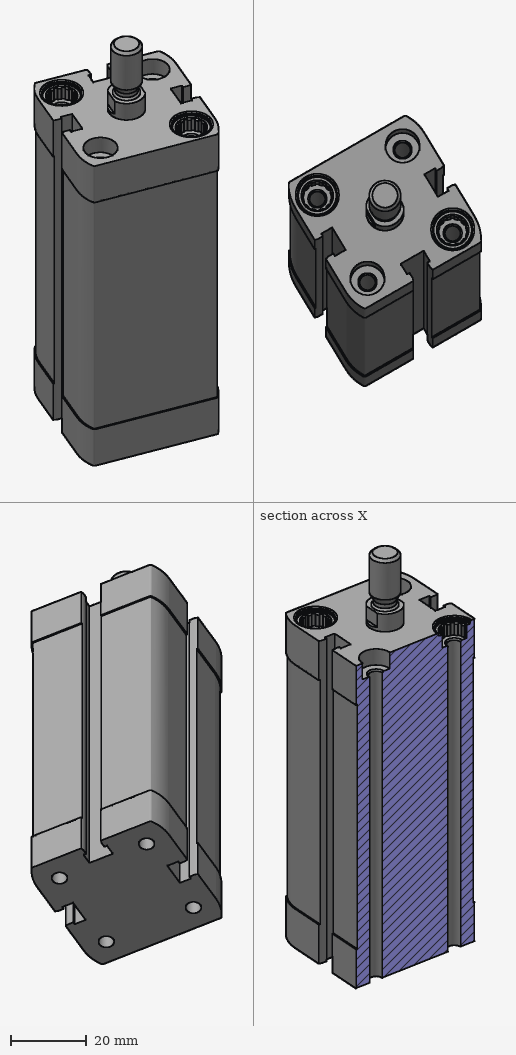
import cadquery as cq
import math

cap_width = 39.5
cap_inset = 0.4
cap_height = 12.0
housing_height = 99.0
tube_height = housing_height - 2 * cap_height

mounting_offset = 13.0
corner_radius = 25.0 / 2
cap_corner_fillet = 0.7
tube_corner_fillet = 0.4

slot_mouth_width = 5.4
slot_inner_width = 7.0
slot_lip_depth = 2.4
slot_depth = 5.7
slot_flare = 0.2
slot_flare_depth = 0.8
slot_angles = (0, 180, 270)

through_diameter = 4.1
hole_lead_diameter = 5.0
counterbore_diameter = 9.0
counterbore_depth = 5.0
plain_corners = ((-1, 1), (1, -1))
socket_corners = ((1, 1), (-1, -1))

socket_mouth_diameter = 11.5
socket_diameter = 10.5
socket_ledge_diameter = 10.0
socket_depth = 1.0
socket_lead_diameter = 8.4
socket_bore_diameter = 7.5
spline_diameter = 8.0
spline_groove_count = 12

overall_height = 120.5
rod_diameter = 10.0
rod_shoulder_z = 104.5
rod_flat_width = 8.8
rod_flat_bottom_z = 100.3
rod_flat_runout = 0.4
neck_diameter = 6.1
neck_flare = 0.6
neck_bottom_z = rod_shoulder_z + neck_flare
neck_top_z = 106.3
thread_diameter = 8.3
thread_bottom_z = 108.3
thread_chamfer = 0.8


def rounded_block(inset, corner_fillet, height, bottom_z):
    """Square block with bulged corners; inset shrinks all its sides."""
    half = cap_width / 2 - inset
    radius = corner_radius - inset
    reach = half - mounting_offset
    arc_center_y = half - radius
    corner_y = arc_center_y + math.sqrt(radius**2 - reach**2)
    middle_angle = (math.pi / 2 + math.acos(reach / radius)) / 2
    middle_x = mounting_offset + radius * math.cos(middle_angle)
    middle_y = arc_center_y + radius * math.sin(middle_angle)
    return (
        cq.Workplane("XY", origin=(0, 0, bottom_z))
        .moveTo(-mounting_offset, half)
        .lineTo(mounting_offset, half)
        .threePointArc((middle_x, middle_y), (half, corner_y))
        .lineTo(half, -corner_y)
        .threePointArc((middle_x, -middle_y), (mounting_offset, -half))
        .lineTo(-mounting_offset, -half)
        .threePointArc((-middle_x, -middle_y), (-half, -corner_y))
        .lineTo(-half, corner_y)
        .threePointArc((-middle_x, middle_y), (-mounting_offset, half))
        .close()
        .extrude(height)
        .edges("|Z and (<X or >X)")
        .fillet(corner_fillet)
    )


def slot_cutter(angle):
    """T-slot with a flared mouth through the full height, on the -Y side turned about Z."""
    side = -cap_width / 2
    mouth = slot_mouth_width / 2
    inner = slot_inner_width / 2
    right_half = [
        (mouth + slot_flare, side),
        (mouth, side + slot_flare_depth),
        (mouth, side + slot_lip_depth),
        (inner, side + slot_lip_depth),
        (inner, side + slot_depth),
    ]
    left_half = [(-x, y) for x, y in reversed(right_half)]
    return (
        cq.Workplane("XY")
        .polyline(right_half + left_half)
        .close()
        .extrude(housing_height)
        .rotate((0, 0, 0), (0, 0, 1), angle)
    )


def turned(profile):
    """Body of revolution about Z from (radius, z) points."""
    return cq.Workplane("XZ").polyline(profile).close().revolve(360, (0, 0), (0, 1))


def mounting_hole_profile(upper_points):
    """Outline of a through hole below the counterbore floor, closed by the points above it."""
    floor_z = housing_height - counterbore_depth
    lead_radius = hole_lead_diameter / 2
    through_radius = through_diameter / 2
    return [
        (0, 0),
        (through_radius, 0),
        (through_radius, floor_z - (lead_radius - through_radius)),
        (lead_radius, floor_z),
        *upper_points,
        (0, housing_height),
    ]


def plain_hole():
    """Flat-bottomed counterbore above the through hole."""
    radius = counterbore_diameter / 2
    floor_z = housing_height - counterbore_depth
    return turned(mounting_hole_profile([(radius, floor_z), (radius, housing_height)]))


def spline_grooves(bottom_z, top_z):
    """Evenly spaced grooves around the socket bore, as wide as the teeth between them."""
    groove_width = math.pi * socket_bore_diameter / (2 * spline_groove_count)
    height = top_z - bottom_z
    base = cq.Workplane("XY", origin=(0, 0, bottom_z))
    grooves = cq.Workplane("XY")
    for index in range(spline_groove_count // 2):
        bar = base.rect(spline_diameter, groove_width).extrude(height)
        grooves = grooves.union(bar.rotate((0, 0, 0), (0, 0, 1), index * 360 / spline_groove_count))
    return grooves.intersect(base.circle(spline_diameter / 2).extrude(height))


def socket_hole():
    """Chamfered mouth, ledge ring and splined bore above the through hole."""
    floor_z = housing_height - counterbore_depth
    ledge_z = housing_height - socket_depth
    mouth_radius = socket_mouth_diameter / 2
    radius = socket_diameter / 2
    ledge_radius = socket_ledge_diameter / 2
    lead_radius = socket_lead_diameter / 2
    bore_radius = socket_bore_diameter / 2
    socket = turned(
        mounting_hole_profile(
            [
                (bore_radius, floor_z),
                (bore_radius, ledge_z - (lead_radius - bore_radius)),
                (lead_radius, ledge_z),
                (ledge_radius, ledge_z),
                (radius, ledge_z + (radius - ledge_radius)),
                (radius, housing_height - (mouth_radius - radius) / 2),
                (mouth_radius, housing_height),
            ]
        )
    )
    groove_top_z = ledge_z - (lead_radius - spline_diameter / 2)
    return socket.union(spline_grooves(floor_z, groove_top_z))


def build_housing():
    body = rounded_block(0, cap_corner_fillet, cap_height, 0)
    body = body.union(rounded_block(cap_inset, tube_corner_fillet, tube_height, cap_height))
    body = body.union(rounded_block(0, cap_corner_fillet, cap_height, housing_height - cap_height))
    for angle in slot_angles:
        body = body.cut(slot_cutter(angle))
    for corners, hole in ((plain_corners, plain_hole()), (socket_corners, socket_hole())):
        for x_sign, y_sign in corners:
            body = body.cut(hole.translate((x_sign * mounting_offset, y_sign * mounting_offset, 0)))
    return body


def build_rod():
    """Rod end standing on the housing: collar with two flats, neck and thread stud."""
    rod_radius = rod_diameter / 2
    neck_radius = neck_diameter / 2
    thread_radius = thread_diameter / 2
    rod = turned(
        [
            (0, housing_height),
            (rod_radius, housing_height),
            (rod_radius, rod_shoulder_z),
            (neck_radius + neck_flare, rod_shoulder_z),
            (neck_radius, neck_bottom_z),
            (neck_radius, neck_top_z),
            (thread_radius, thread_bottom_z),
            (thread_radius, overall_height - thread_chamfer),
            (thread_radius - thread_chamfer, overall_height),
            (0, overall_height),
        ]
    )
    flat_y = rod_flat_width / 2
    flat = (
        cq.Workplane("YZ")
        .moveTo(flat_y, rod_shoulder_z)
        .lineTo(flat_y, rod_flat_bottom_z)
        .lineTo(rod_radius, rod_flat_bottom_z - rod_flat_runout)
        .lineTo(rod_radius, rod_shoulder_z)
        .close()
        .extrude(rod_radius, both=True)
    )
    return rod.cut(flat).cut(flat.mirror("XZ"))


housing = build_housing()
rod = build_rod()

result = cq.Compound.makeCompound([housing.val(), rod.val()])